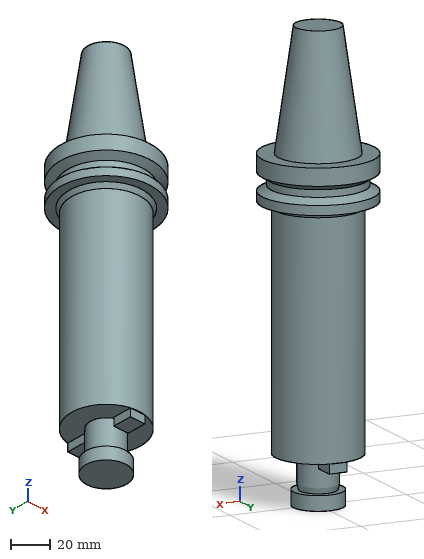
import cadquery as cq

TOTAL_LENGTH = 252.5
TAPER_LENGTH = 67.5
TAPER_TOP_DIAMETER = 25.5
TAPER_BASE_DIAMETER = 45.0

FLANGE_DIAMETER = 63.0
FLANGE_THICKNESS = 25.0
GROOVE_DIAMETER = 53.0
UPPER_RIM_THICKNESS = 9.5
LOWER_RIM_THICKNESS = 5.3
GROOVE_FLANK_HEIGHT = 3.0

BODY_DIAMETER = 48.0
BODY_END_Z = 27.3
COLLAR_DIAMETER = 51.5
COLLAR_HEIGHT = 3.0

PILOT_DIAMETER = 22.0
PILOT_CHAMFER_HEIGHT = 3.0
PILOT_TIP_DIAMETER = 20.5
HEAD_DIAMETER = 28.0
HEAD_HEIGHT = 8.3

KEY_WIDTH = 10.0
KEY_HEIGHT = 5.3
KEY_SPAN = 46.7

flange_top = TOTAL_LENGTH - TAPER_LENGTH
flange_bottom = flange_top - FLANGE_THICKNESS
upper_rim_bottom = flange_top - UPPER_RIM_THICKNESS
lower_rim_top = flange_bottom + LOWER_RIM_THICKNESS


def make_turned_body():
    """Revolve the taper, grooved flange, body, pilot and screw head about Z."""
    corners = [
        (0, 0),
        (HEAD_DIAMETER, 0),
        (HEAD_DIAMETER, HEAD_HEIGHT),
        (PILOT_TIP_DIAMETER, HEAD_HEIGHT),
        (PILOT_DIAMETER, HEAD_HEIGHT + PILOT_CHAMFER_HEIGHT),
        (PILOT_DIAMETER, BODY_END_Z),
        (BODY_DIAMETER, BODY_END_Z),
        (BODY_DIAMETER, flange_bottom - COLLAR_HEIGHT),
        (COLLAR_DIAMETER, flange_bottom),
        (FLANGE_DIAMETER, flange_bottom),
        (FLANGE_DIAMETER, lower_rim_top),
        (GROOVE_DIAMETER, lower_rim_top + GROOVE_FLANK_HEIGHT),
        (GROOVE_DIAMETER, upper_rim_bottom - GROOVE_FLANK_HEIGHT),
        (FLANGE_DIAMETER, upper_rim_bottom),
        (FLANGE_DIAMETER, flange_top),
        (TAPER_BASE_DIAMETER, flange_top),
        (TAPER_TOP_DIAMETER, TOTAL_LENGTH),
        (0, TOTAL_LENGTH),
    ]
    profile = [(diameter / 2, height) for diameter, height in corners]
    return cq.Workplane("XZ").polyline(profile).close().revolve(360, (0, 0), (0, 1))


def make_drive_keys():
    """Two opposite blocks below the body, with flat inner ends beside the pilot."""
    key_length = (KEY_SPAN - PILOT_DIAMETER) / 2
    key_offset = (KEY_SPAN + PILOT_DIAMETER) / 4
    return (
        cq.Workplane("XY")
        .workplane(offset=BODY_END_Z - KEY_HEIGHT)
        .pushPoints([(0, -key_offset), (0, key_offset)])
        .rect(KEY_WIDTH, key_length)
        .extrude(KEY_HEIGHT)
    )


result = make_turned_body().union(make_drive_keys())